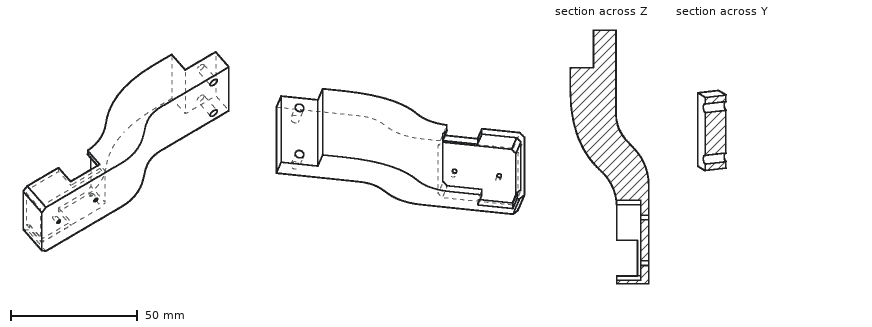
import cadquery as cq
import math

length = 100.0
width = 31.0
height = 30.0

flange_length = 14.8
flange_thickness = 9.0
flange_back_x = 18.1
flange_hole_diameter = 3.4
flange_hole_spacing = 21.0

front_curve_start_y = 76.8
front_inflection = (12.0, 44.6)
front_curve_end_y = 30.5
back_curve_start_y = 67.0
back_inflection = (25.1, 53.5)
back_curve_end_y = 39.0

tray_thickness = 12.7
tray_front_x = width - tray_thickness
end_chamfer = 2.0

pocket_depth = 9.5
pocket_length = 31.4
pocket_height = 25.0
pocket_chamfer = 1.7
end_wall = 1.5
pocket_center_y = end_wall + pocket_length / 2
side_wall = (height - pocket_height) / 2
screw_hole_diameter = 1.7
screw_hole_spacing = 18.0

top_cutout_end_y = 31.3
bottom_cutout_start_y = 3.0
cutout_depth = 8.2


def box(x, y, z, size_x, size_y, size_z):
    """Box with its lowest corner at (x, y, z)."""
    return cq.Workplane("XY").box(size_x, size_y, size_z, centered=False).translate((x, y, z))


def cross_hole(y, z, diameter):
    """Cylinder along X through the whole part."""
    return cq.Workplane("YZ").center(y, z).circle(diameter / 2).extrude(width)


def make_body():
    """Extruded S-shaped outline with chamfered tray end."""
    flange_front_x = flange_back_x - flange_thickness
    shoulder_y = length - flange_length

    arc_width = tray_front_x - front_inflection[0]
    arc_length = front_inflection[1] - front_curve_end_y
    inflection_angle = 2 * math.atan2(arc_width, arc_length)
    inflection_direction = (math.sin(inflection_angle), -math.cos(inflection_angle))

    back_angle = 2 * math.atan2(width - back_inflection[0], back_inflection[1] - back_curve_end_y)
    back_direction = (-math.sin(back_angle), math.cos(back_angle))

    outline = (
        cq.Workplane("XY")
        .moveTo(flange_front_x, length)
        .lineTo(flange_front_x, shoulder_y)
        .lineTo(0, shoulder_y)
        .lineTo(0, front_curve_start_y)
        .spline([front_inflection], tangents=[(0, -1), inflection_direction], includeCurrent=True)
        .tangentArcPoint((tray_front_x, front_curve_end_y), relative=False)
        .lineTo(tray_front_x, 0)
        .lineTo(width, 0)
        .lineTo(width, back_curve_end_y)
        .tangentArcPoint(back_inflection, relative=False)
        .spline(
            [(flange_back_x, back_curve_start_y)],
            tangents=[back_direction, (0, 1)],
            includeCurrent=True,
        )
        .lineTo(flange_back_x, length)
        .close()
    )
    return outline.extrude(height).faces("<Y").edges("|X").chamfer(end_chamfer)


def make_pocket():
    """Tray cavity with chamfered corners, open through the front face."""
    pocket_floor_x = tray_front_x + pocket_depth
    cavity = box(0, end_wall, side_wall, pocket_floor_x, pocket_length, pocket_height)
    return cavity.edges("|X").chamfer(pocket_chamfer)


def make_wall_cutouts():
    """Opening in the upper wall over the inner half, and in the lower wall over the outer half."""
    top = box(
        0, pocket_center_y, height - side_wall,
        tray_front_x + cutout_depth, top_cutout_end_y - pocket_center_y, side_wall,
    )
    bottom = box(
        0, bottom_cutout_start_y, 0,
        tray_front_x + cutout_depth, pocket_center_y - bottom_cutout_start_y, side_wall,
    )
    return top.union(bottom)


result = make_body().cut(make_pocket()).cut(make_wall_cutouts())

for side in (-1, 1):
    flange_hole_z = height / 2 + side * flange_hole_spacing / 2
    result = result.cut(cross_hole(length - flange_length / 2, flange_hole_z, flange_hole_diameter))

    screw_hole_y = pocket_center_y + side * screw_hole_spacing / 2
    result = result.cut(cross_hole(screw_hole_y, height / 2, screw_hole_diameter))